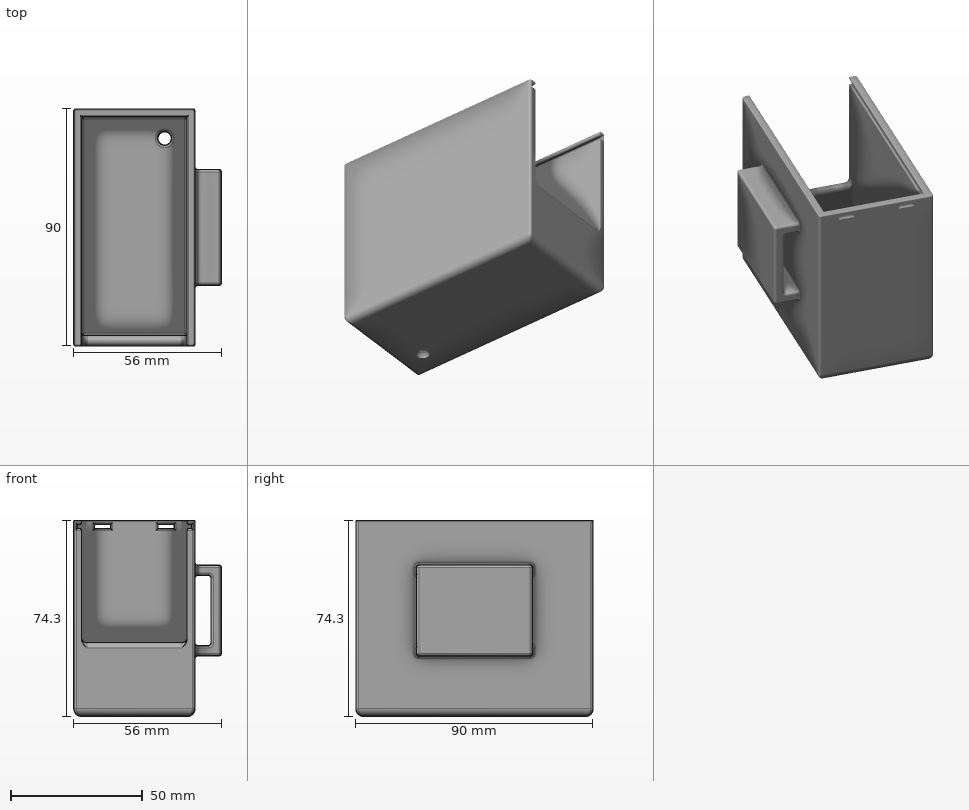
import cadquery as cq
import math

body_width = 46.0
body_length = 90.0
body_height = 74.3
side_wall = 3.0
front_wall = 4.0
floor_thickness = 3.0
bottom_radius = 3.0
edge_radius = 1.0
rim_radius = 0.45

front_wall_height = 28.0
crest_radius = front_wall / 2

lid_lip = 1.5
lid_gap = 1.5
lid_top = body_height - lid_lip
lid_bottom = lid_top - lid_gap
mouth_radius = 0.7

groove_depth = 1.6

slot_width = 6.0
slot_spacing = 24.0

hole_diameter = 5.0
hole_from_right = 11.5
hole_from_rear = 11.25

handle_reach = 10.0
handle_length = 44.0
handle_height = 34.5
handle_bottom = 22.95
handle_bar = 4.0

tolerance = 0.045

cavity_half_width = body_width / 2 - side_wall
cavity_back = body_length - side_wall


def block(x_range, y_range, z_range):
    """Box spanning the given (low, high) ranges."""
    (x0, x1), (y0, y1), (z0, z1) = x_range, y_range, z_range
    return cq.Workplane("XY").box(x1 - x0, y1 - y0, z1 - z0, centered=False).translate((x0, y0, z0))


def edges_near(x_range, y_range, z_range):
    """Selector for the edges lying wholly within the given ranges."""
    low, high = zip(x_range, y_range, z_range)
    return cq.selectors.BoxSelector(
        tuple(value - tolerance for value in low),
        tuple(value + tolerance for value in high),
        boundingbox=True,
    )


def make_shell_blank():
    """Solid outer block with rounded bottom and upright corners."""
    blank = cq.Workplane("XY").box(body_width, body_length, body_height, centered=(True, False, False))
    blank = blank.faces("<Z").edges().fillet(bottom_radius)
    return blank.edges("|Z").fillet(edge_radius)


def make_cavity():
    """Inner space behind the front wall, rounded where it meets the floor."""
    x_range = (-cavity_half_width, cavity_half_width)
    inside = block(x_range, (front_wall, cavity_back), (floor_thickness, body_height))
    inside = inside.faces("<Z").edges().fillet(edge_radius)
    opening = block(x_range, (0, front_wall), (front_wall_height - crest_radius, body_height))
    return inside.union(opening)


def make_crest():
    """Round bar on top of the front wall, flaring up into both side walls."""
    axis_height = front_wall_height - crest_radius
    x_end = cavity_half_width
    x_flare = x_end - crest_radius
    bend = crest_radius * (1 - math.cos(math.pi / 4))
    profile = (
        cq.Workplane("XY")
        .moveTo(-x_end, 0)
        .lineTo(-x_end, 2 * crest_radius)
        .threePointArc((-x_end + bend, crest_radius + bend), (-x_flare, crest_radius))
        .lineTo(x_flare, crest_radius)
        .threePointArc((x_end - bend, crest_radius + bend), (x_end, 2 * crest_radius))
        .lineTo(x_end, 0)
        .close()
    )
    bar = profile.revolve(360, (0, 0), (1, 0)).translate((0, crest_radius, axis_height))
    limits = block((-x_end, x_end), (0, front_wall), (axis_height, body_height))
    return bar.intersect(limits)


def make_right_groove():
    """Lid groove of the right wall, flaring at its mouth along the inside and at the front."""
    x_inner = cavity_half_width
    x_deep = x_inner + groove_depth
    z_range = (lid_bottom, lid_top)
    z_span = (z_range[0] - mouth_radius, z_range[1] + mouth_radius)
    envelope = block((x_inner, x_deep + mouth_radius), (0, cavity_back), z_span)

    margin = 2 * mouth_radius
    wall = block(
        (x_inner, x_deep + margin),
        (0, cavity_back),
        (z_range[0] - margin, z_range[1] + margin),
    )
    wall = wall.cut(block((x_inner, x_deep), (0, cavity_back), z_range))
    front_mouth = edges_near((x_inner, x_deep), (0, 0), z_range)
    inner_mouth = edges_near((x_inner, x_inner), (0, cavity_back), z_range)
    rounded_wall = wall.edges(front_mouth + inner_mouth).fillet(mouth_radius)
    return envelope.cut(rounded_wall)


def cut_latch_slots(part):
    """Cut two slots through the rear wall and round their inner edges."""
    z_range = (lid_bottom, lid_top)
    for side in (-1, 1):
        x_middle = side * slot_spacing / 2
        x_range = (x_middle - slot_width / 2, x_middle + slot_width / 2)
        part = part.cut(block(x_range, (cavity_back, body_length), z_range))
        inner_edges = edges_near(x_range, (cavity_back, cavity_back), z_range)
        part = part.edges(inner_edges).fillet(mouth_radius)
    return part


def cut_drain_hole(part):
    """Cut the hole through the floor and round its upper edge."""
    x = body_width / 2 - hole_from_right
    y = body_length - hole_from_rear
    radius = hole_diameter / 2
    hole = cq.Workplane("XY").center(x, y).circle(radius).extrude(floor_thickness)
    upper_edge = edges_near(
        (x - radius, x + radius),
        (y - radius, y + radius),
        (floor_thickness, floor_thickness),
    )
    return part.cut(hole).edges(upper_edge).fillet(edge_radius)


def add_handle(part):
    """Add the D-shaped handle to the right side, with every edge rounded."""
    wall = body_width / 2
    y_range = ((body_length - handle_length) / 2, (body_length + handle_length) / 2)
    z_range = (handle_bottom, handle_bottom + handle_height)
    handle = block((wall, wall + handle_reach), y_range, z_range)
    window = block(
        (wall, wall + handle_reach - handle_bar),
        y_range,
        (z_range[0] + handle_bar, z_range[1] - handle_bar),
    )
    window = window.edges("|Y and >X").fillet(edge_radius)
    handle = handle.cut(window)
    root = edges_near((wall, wall), y_range, z_range)
    handle = handle.edges(cq.selectors.InverseSelector(root)).fillet(edge_radius)
    return part.union(handle).edges(root).fillet(edge_radius)


result = make_shell_blank().cut(make_cavity())
result = result.faces(">Z").edges().fillet(rim_radius)

right_groove = make_right_groove()
result = result.cut(right_groove).cut(right_groove.mirror("YZ"))

result = cut_latch_slots(result)
result = cut_drain_hole(result)
result = add_handle(result)
result = result.union(make_crest())